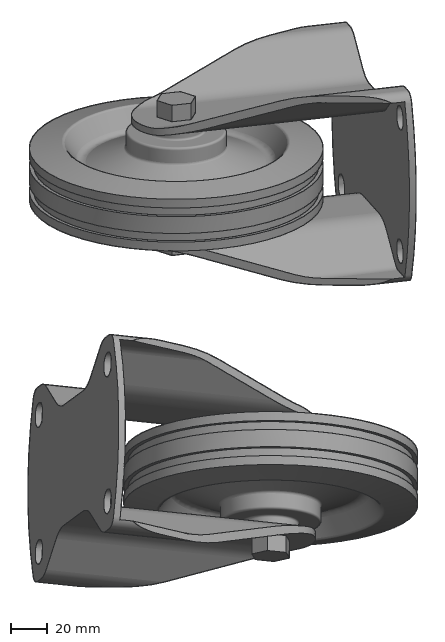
import cadquery as cq
import math


OVERALL_LENGTH = 195.0
WHEEL_RADIUS = 160.0 / 2
PLATE_BACK_Y = OVERALL_LENGTH - WHEEL_RADIUS

SHEET = 3.9
BRACKET_HALF_HEIGHT = 110.0 / 2
CHEEK_OUTER_Z = 34.1
CHEEK_INNER_Z = CHEEK_OUTER_Z - SHEET
CHEEK_FLAT_HALF_WIDTH = 14.5
BEND_ANGLE = math.radians(41)
CHEEK_BEND_RADIUS = 18.1
FLANGE_BEND_RADIUS = 12.0

PLATE_HALF_WIDTH = 70.0
PLATE_SIDE_RADIUS = 158.0
PLATE_CORNER_RADIUS = 7.0
CHEEK_TIP_RADIUS = 24.4
CHEEK_TAPER_ANGLE = math.radians(19)

SLOT_X = 52.8
SLOT_Z = 38.8
SLOT_WIDTH = 11.0
SLOT_HEIGHT = 13.6

TREAD_EDGE_Z = 15.0
GROOVE_RADIUS = 155.6 / 2
GROOVE_INNER_Z = 4.9
GROOVE_OUTER_Z = 10.0

RIM_RADIUS = 61.2
RIM_Z = 18.7
RIM_ROUND = 1.5
VALLEY_RADIUS = 52.5
VALLEY_Z = 5.5
VALLEY_ROUND = 4.3

HUB_RADIUS = 54.8 / 2
HUB_Z = 25.0
HUB_ROUND = 1.4
HUB_FOOT_Z = 15.2
NECK_RADIUS = 30.5 / 2
NECK_ROUND = 1.2
BOLT_ACROSS_FLATS = 19.0
BOLT_END_Z = 43.7


def mirror_all_quarters(quarter):
    """Complete a +X +Z quarter of the bracket by mirroring it twice."""
    upper = quarter.union(quarter.mirror("YZ"))
    return upper.union(upper.mirror("XY")).clean()


def space_inside_sheet(inset):
    """Quarter block under the bent sheet, bounded by the sheet's outer face moved in by inset."""
    cheek_radius = CHEEK_BEND_RADIUS + inset
    flange_radius = FLANGE_BEND_RADIUS - inset
    cheek_center_z = CHEEK_OUTER_Z + CHEEK_BEND_RADIUS
    flange_center_z = BRACKET_HALF_HEIGHT - FLANGE_BEND_RADIUS

    bend_radii = CHEEK_BEND_RADIUS + FLANGE_BEND_RADIUS
    slope_rise = BRACKET_HALF_HEIGHT - CHEEK_OUTER_Z - bend_radii * (1 - math.cos(BEND_ANGLE))
    slope_run = slope_rise / math.tan(BEND_ANGLE)
    flange_center_x = CHEEK_FLAT_HALF_WIDTH + bend_radii * math.sin(BEND_ANGLE) + slope_run

    def on_cheek_bend(angle):
        return (
            CHEEK_FLAT_HALF_WIDTH + cheek_radius * math.sin(angle),
            cheek_center_z - cheek_radius * math.cos(angle),
        )

    def on_flange_bend(angle):
        return (
            flange_center_x - flange_radius * math.sin(angle),
            flange_center_z + flange_radius * math.cos(angle),
        )

    return (
        cq.Workplane("XZ", origin=(0, PLATE_BACK_Y, 0))
        .lineTo(0, CHEEK_OUTER_Z - inset)
        .lineTo(*on_cheek_bend(0))
        .threePointArc(on_cheek_bend(BEND_ANGLE / 2), on_cheek_bend(BEND_ANGLE))
        .lineTo(*on_flange_bend(BEND_ANGLE))
        .threePointArc(on_flange_bend(BEND_ANGLE / 2), on_flange_bend(0))
        .lineTo(PLATE_HALF_WIDTH, BRACKET_HALF_HEIGHT - inset)
        .lineTo(PLATE_HALF_WIDTH, 0)
        .close()
        .extrude(OVERALL_LENGTH)
    )


def bracket_end_outline():
    """Quarter block with the bowed side and rounded corner of the mounting plate."""
    bow = PLATE_SIDE_RADIUS - math.sqrt(PLATE_SIDE_RADIUS**2 - BRACKET_HALF_HEIGHT**2)
    return (
        cq.Workplane("XZ", origin=(0, PLATE_BACK_Y, 0))
        .lineTo(0, BRACKET_HALF_HEIGHT)
        .lineTo(PLATE_HALF_WIDTH - bow, BRACKET_HALF_HEIGHT)
        .radiusArc((PLATE_HALF_WIDTH, 0), PLATE_SIDE_RADIUS)
        .close()
        .extrude(OVERALL_LENGTH)
        .edges("|Y and >(1, 0, 1)")
        .fillet(PLATE_CORNER_RADIUS)
    )


def cheek_outline():
    """Half block with the tapered side and round tip of a cheek, centred on the wheel axis."""
    taper_cos = math.cos(CHEEK_TAPER_ANGLE)
    taper_sin = math.sin(CHEEK_TAPER_ANGLE)
    tip_middle_angle = (CHEEK_TAPER_ANGLE + math.pi / 2) / 2
    back_half_width = (CHEEK_TIP_RADIUS + PLATE_BACK_Y * taper_sin) / taper_cos
    tangent_point = (CHEEK_TIP_RADIUS * taper_cos, -CHEEK_TIP_RADIUS * taper_sin)
    tip_middle = (
        CHEEK_TIP_RADIUS * math.cos(tip_middle_angle),
        -CHEEK_TIP_RADIUS * math.sin(tip_middle_angle),
    )
    return (
        cq.Workplane("XY")
        .moveTo(0, PLATE_BACK_Y)
        .lineTo(back_half_width, PLATE_BACK_Y)
        .lineTo(*tangent_point)
        .threePointArc(tip_middle, (0, -CHEEK_TIP_RADIUS))
        .close()
        .extrude(BRACKET_HALF_HEIGHT)
    )


def make_bracket():
    solid_quarter = space_inside_sheet(0).intersect(bracket_end_outline())
    cheek = solid_quarter.cut(space_inside_sheet(SHEET)).intersect(cheek_outline())

    plate_slab = (
        cq.Workplane("XZ", origin=(0, PLATE_BACK_Y, 0))
        .rect(PLATE_HALF_WIDTH, BRACKET_HALF_HEIGHT, centered=False)
        .extrude(SHEET)
    )
    slot = (
        cq.Workplane("XZ", origin=(SLOT_X, PLATE_BACK_Y, SLOT_Z))
        .slot2D(SLOT_HEIGHT, SLOT_WIDTH, 90)
        .extrude(SHEET)
    )
    plate = solid_quarter.intersect(plate_slab).cut(slot)
    return mirror_all_quarters(cheek.union(plate))


def round_rings(body, ring_radius, ring_z, round_radius):
    """Round the matching circular edges on both faces of the wheel."""
    tolerance = 0.02

    def is_ring(edge):
        return (
            edge.geomType() == "CIRCLE"
            and abs(edge.radius() - ring_radius) < tolerance
            and abs(abs(edge.Center().z) - ring_z) < tolerance
        )

    rings = [edge for edge in body.edges().vals() if is_ring(edge)]
    return body.newObject(rings).fillet(round_radius)


def make_wheel():
    """Wheel, hub and necks as one turned body."""
    upper_profile = [
        (WHEEL_RADIUS, GROOVE_INNER_Z),
        (GROOVE_RADIUS, GROOVE_INNER_Z),
        (GROOVE_RADIUS, GROOVE_OUTER_Z),
        (WHEEL_RADIUS, GROOVE_OUTER_Z),
        (WHEEL_RADIUS, TREAD_EDGE_Z),
        (RIM_RADIUS, RIM_Z),
        (VALLEY_RADIUS, VALLEY_Z),
        (HUB_RADIUS, HUB_FOOT_Z),
        (HUB_RADIUS, HUB_Z),
        (NECK_RADIUS, HUB_Z),
        (NECK_RADIUS, CHEEK_INNER_Z),
        (0, CHEEK_INNER_Z),
    ]
    lower_profile = [(r, -z) for r, z in reversed(upper_profile)]
    body = (
        cq.Workplane("XZ")
        .polyline(upper_profile + lower_profile)
        .close()
        .revolve(360, (0, 0, 0), (0, 1, 0))
    )
    body = round_rings(body, RIM_RADIUS, RIM_Z, RIM_ROUND)
    body = round_rings(body, VALLEY_RADIUS, VALLEY_Z, VALLEY_ROUND)
    body = round_rings(body, HUB_RADIUS, HUB_FOOT_Z, HUB_ROUND)
    body = round_rings(body, HUB_RADIUS, HUB_Z, HUB_ROUND)
    body = round_rings(body, NECK_RADIUS, HUB_Z, NECK_ROUND)
    return round_rings(body, NECK_RADIUS, CHEEK_INNER_Z, NECK_ROUND)


def make_bolt_heads():
    """Hexagonal bolt heads standing on the outer faces of both cheeks."""
    across_corners = BOLT_ACROSS_FLATS / math.cos(math.pi / 6)
    head_height = BOLT_END_Z - CHEEK_OUTER_Z
    head = (
        cq.Workplane("XY")
        .polygon(6, across_corners)
        .extrude(head_height)
        .rotate((0, 0, 0), (0, 0, 1), 30)
        .translate((0, 0, CHEEK_OUTER_Z))
    )
    return head.union(head.mirror("XY"))


result = make_bracket().union(make_wheel()).union(make_bolt_heads())